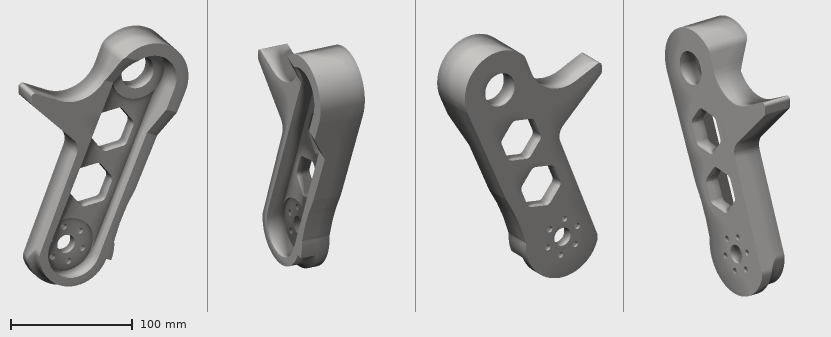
import cadquery as cq
import math


plate_thickness = 25.9
boss_thickness = 41.4
pocket_floor = 12.0
hub_floor = 9.5
pivot_floor = 16.4

arm_length = 157.5
arm_tilt = math.radians(22.9)
hub_radius = 36.0
pivot_radius = 34.5

back_edge_tilt = math.radians(23.8)
back_edge_end_z = 45.7
neck_radius = 161.5
neck_end_z = 2.5
front_edge_tilt = math.radians(21.8)
front_edge_y = -32.0

saddle_radius = 32.3
saddle_y = 0.5
saddle_z = 165.2
hook_top_slope = math.radians(25.7)
hook_tip_y = -38.5
hook_under_z = 98.2

crown_fillet = 10.8
tip_fillet = 2.8
armpit_fillet = 12.5
heel_fillet = 10.8

pivot_hole_radius = 14.5
hub_hole_radius = 8.0
bolt_hole_radius = 2.5
bolt_circle_radius = 15.7
bolt_count = 6
hex_across_flats = 35.0
hex_fillet = 5.0
hex_positions = (54.3, 104.0)

pocket_half_width = 23.7

wall_end_slope = math.radians(60)
back_wall_end = 45.7
front_wall_end = 11.5

relief_radius = 31.2
relief_fillet = 8.6
relief_end_x = 17.7

margin = 43.0


def arm_point(along, side):
    """(y, z) at a distance along the centreline and toward the back (+Y) side."""
    return (
        along * math.sin(arm_tilt) + side * math.cos(arm_tilt),
        along * math.cos(arm_tilt) - side * math.sin(arm_tilt),
    )


def polar(center, radius, angle):
    """(y, z) on a circle, the angle counted from +Y toward +Z."""
    return (center[0] + radius * math.cos(angle), center[1] + radius * math.sin(angle))


pivot = arm_point(arm_length, 0)
centreline_angle = 90 - math.degrees(arm_tilt)
saddle_center = (saddle_y, saddle_z)


def front_edge_at(z):
    return (front_edge_y + z * math.tan(front_edge_tilt), z)


def edge_circle_hit(point, tilt, center, radius, sign):
    """Where a straight edge through a point meets a circle (sign +1: upper hit, -1: lower hit)."""
    direction = (math.sin(tilt), math.cos(tilt))
    offset = (point[0] - center[0], point[1] - center[1])
    middle = -(offset[0] * direction[0] + offset[1] * direction[1])
    gap = offset[0] * direction[1] - offset[1] * direction[0]
    travel = middle + sign * math.sqrt(radius**2 - gap**2)
    return (point[0] + travel * direction[0], point[1] + travel * direction[1])


back_tangent = polar(pivot, pivot_radius, -back_edge_tilt)
back_end = (
    back_tangent[0] - (back_tangent[1] - back_edge_end_z) * math.tan(back_edge_tilt),
    back_edge_end_z,
)
neck_end = (math.sqrt(hub_radius**2 - neck_end_z**2), neck_end_z)
heel = edge_circle_hit(front_edge_at(0), front_edge_tilt, (0, 0), hub_radius, -1)
armpit_z = (hook_under_z - front_edge_y) / (1 + math.tan(front_edge_tilt))
armpit = front_edge_at(armpit_z)
tip_bottom = (hook_tip_y, hook_under_z - hook_tip_y)
saddle_front = polar(saddle_center, saddle_radius, -math.pi / 2 - hook_top_slope)
tip_top = (
    hook_tip_y,
    saddle_front[1] + (saddle_front[0] - hook_tip_y) * math.tan(hook_top_slope),
)
saddle_back = polar(saddle_center, saddle_radius, -front_edge_tilt)
saddle_bottom = polar(saddle_center, saddle_radius, -math.pi / 2)
crown = edge_circle_hit(saddle_back, front_edge_tilt, pivot, pivot_radius, 1)


def edges_near(body, point):
    """Edge parallel to X that stands on an outline corner."""
    nearest = cq.selectors.NearestToPointSelector((boss_thickness / 2, *point))
    return body.edges("|X").edges(nearest)


def make_outline_body():
    """Full outline of arm, hook and boss, as thick as the boss throughout."""
    body = (
        cq.Workplane("YZ")
        .moveTo(*back_tangent)
        .lineTo(*back_end)
        .radiusArc(neck_end, -neck_radius)
        .threePointArc((0, -hub_radius), heel)
        .lineTo(*armpit)
        .lineTo(*tip_bottom)
        .lineTo(*tip_top)
        .lineTo(*saddle_front)
        .threePointArc(saddle_bottom, saddle_back)
        .lineTo(*crown)
        .threePointArc((pivot[0], pivot[1] + pivot_radius), back_tangent)
        .close()
        .extrude(boss_thickness)
    )
    corners = (
        (crown, crown_fillet),
        (tip_top, tip_fillet),
        (tip_bottom, tip_fillet),
        (armpit, armpit_fillet),
        (heel, heel_fillet),
    )
    for corner, radius in corners:
        body = edges_near(body, corner).fillet(radius)
    return body


def make_wall_trim(wall_end, side):
    """Block below the sloped end of one boss wall: side is +1 for the back wall, -1 for the front."""
    rise = boss_thickness - plate_thickness
    start = arm_length - wall_end
    reach = -hub_radius - margin
    width = arm_length
    slope_run = rise * math.tan(wall_end_slope)
    trim_plane = cq.Plane(
        origin=(0, 0, 0),
        xDir=(0, math.sin(arm_tilt), math.cos(arm_tilt)),
        normal=(0, math.cos(arm_tilt), -math.sin(arm_tilt)),
    )
    return (
        cq.Workplane(trim_plane)
        .polyline(
            [
                (reach, plate_thickness),
                (start, plate_thickness),
                (start + slope_run, boss_thickness),
                (reach, boss_thickness),
            ]
        )
        .close()
        .extrude(side * width)
    )


def make_pocket():
    """Slot from hub to pivot, deeper at the hub, with a raised pad around the pivot hole."""
    middle = arm_point(arm_length / 2, 0)
    length = arm_length + 2 * pocket_half_width
    slot = (
        cq.Workplane("YZ", origin=(pocket_floor, 0, 0))
        .center(*middle)
        .slot2D(length, 2 * pocket_half_width, centreline_angle)
        .extrude(boss_thickness)
    )
    hub_well = (
        cq.Workplane("YZ", origin=(hub_floor, 0, 0))
        .circle(pocket_half_width)
        .extrude(boss_thickness)
    )
    pivot_pad = cq.Workplane("YZ").center(*pivot).circle(pocket_half_width).extrude(pivot_floor)
    return slot.cut(pivot_pad).union(hub_well)


def make_hub_relief():
    """Half ring outside the hub wall: a 45 degree chamfer, then a concave fillet into the wall."""
    chamfer_angle = math.radians(45)
    chamfer_top = (
        relief_radius + relief_fillet * (1 - math.cos(chamfer_angle)),
        relief_end_x - relief_fillet * math.sin(chamfer_angle),
    )
    fillet_middle = (
        relief_radius + relief_fillet * (1 - math.cos(chamfer_angle / 2)),
        relief_end_x - relief_fillet * math.sin(chamfer_angle / 2),
    )
    outer = hub_radius + margin
    chamfer_run = chamfer_top[1] - hub_floor
    ring_plane = cq.Plane(
        origin=(0, 0, 0),
        xDir=(0, math.cos(arm_tilt), -math.sin(arm_tilt)),
        normal=(0, -math.sin(arm_tilt), -math.cos(arm_tilt)),
    )
    return (
        cq.Workplane(ring_plane)
        .moveTo(relief_radius, boss_thickness)
        .lineTo(relief_radius, relief_end_x)
        .threePointArc(fillet_middle, chamfer_top)
        .lineTo(chamfer_top[0] + chamfer_run, hub_floor)
        .lineTo(outer, hub_floor)
        .lineTo(outer, boss_thickness)
        .close()
        .revolve(180, (0, 0, 0), (0, -1, 0))
    )


def make_wall_corner_trim():
    """Sliver that rounds the corner where the relieved hub wall meets the front edge."""
    corner = edge_circle_hit(front_edge_at(0), front_edge_tilt, (0, 0), relief_radius, -1)
    far_corner = edge_circle_hit(front_edge_at(0), front_edge_tilt, (0, 0), relief_radius, 1)
    sharp = (
        cq.Workplane("YZ", origin=(relief_end_x, 0, 0))
        .moveTo(*corner)
        .threePointArc((relief_radius, 0), far_corner)
        .close()
        .extrude(boss_thickness - relief_end_x)
    )
    return sharp.cut(edges_near(sharp, corner).fillet(heel_fillet))


def make_hex_opening(position):
    prism = (
        cq.Workplane("YZ")
        .center(*arm_point(position, 0))
        .transformed(rotate=(0, 0, centreline_angle))
        .polygon(6, hex_across_flats / math.cos(math.pi / 6))
        .extrude(boss_thickness)
    )
    return prism.edges("|X").fillet(hex_fillet)


def make_round_hole(center, radius):
    return cq.Workplane("YZ").center(*center).circle(radius).extrude(boss_thickness)


result = make_outline_body()
result = result.cut(make_wall_trim(back_wall_end, 1))
result = result.cut(make_wall_trim(front_wall_end, -1))
result = result.cut(make_hub_relief())
result = result.cut(make_wall_corner_trim())
result = result.cut(make_pocket())
result = result.cut(make_round_hole(pivot, pivot_hole_radius))
result = result.cut(make_round_hole((0, 0), hub_hole_radius))
for index in range(bolt_count):
    bolt_angle = math.radians(centreline_angle + (index + 0.5) * 360 / bolt_count)
    bolt_center = polar((0, 0), bolt_circle_radius, bolt_angle)
    result = result.cut(make_round_hole(bolt_center, bolt_hole_radius))
for hex_position in hex_positions:
    result = result.cut(make_hex_opening(hex_position))